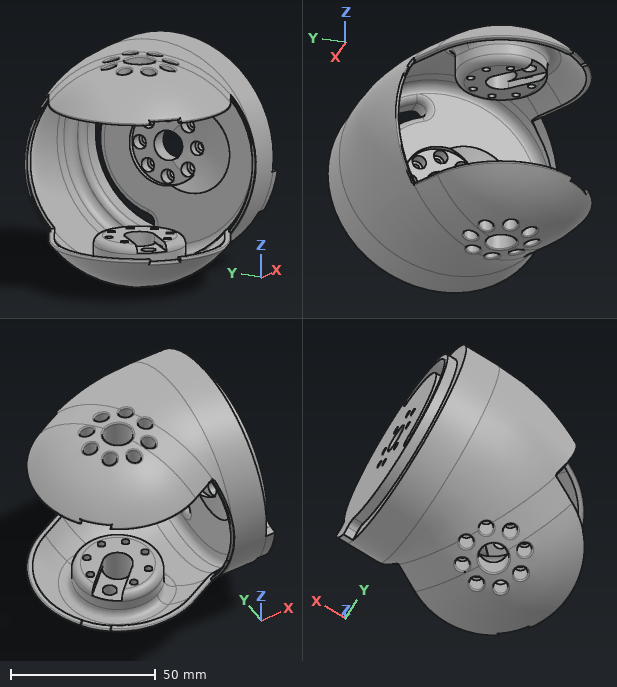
import cadquery as cq
import math


outer_radius = 40.0
wall = 2.0
inner_radius = outer_radius - wall
tube_offset = 9.9
bend_angle = 28.0
bend_axis_gap = 0.04
bend_radius = outer_radius + bend_axis_gap
flange_face = 42.05

turn = math.radians(bend_angle)
neck_length = (tube_offset - bend_radius * (1 - math.cos(turn))) / math.sin(turn)
bend_start = bend_radius * math.sin(turn) + neck_length * math.cos(turn)

window_half = 23.95
edge_round = 0.5
notch_depth = 1.05
notch_top = window_half + notch_depth
hood_bore_radius = 39.0
hood_bore_depth = 4.3

centre_hole_dia = 10.6
screw_circle_radius = 11.0
screw_count = 8
screw_dia = 2.7
screw_head_dia = 5.0
screw_floor = 2.45

boss_radius = 16.0
boss_face = 22.5
boss_round = 3.0
channel_depth = 2.7
channel_angle = 225.0

plate_face = 37.1
plate_corner_round = 3.5
seat_radius = 13.9
seat_depth = 1.95
clearance_radius = 40.2
slot_inner_radius = 26.4
slot_outer_radius = 31.9
slot_round = 2.45
slot_half_angle = math.radians(74)

plug_radius = 34.0
plug_length = 3.8
plug_end = flange_face + plug_length
key_start = math.radians(188)
key_end = math.radians(211)
key_round = 3.0


def along_x(x):
    """Workplane across the tube axis, facing +X."""
    return cq.Workplane("YZ", origin=(x, tube_offset, 0))


def polar(radius, angle):
    return (radius * math.cos(angle), radius * math.sin(angle))


def turned(shape, angle):
    return shape.rotate((0, 0, 0), (0, 0, 1), angle)


def both_sides(shape):
    return shape.union(shape.mirror("XY"))


def slab(half_height):
    span = 4 * outer_radius
    return cq.Workplane("XY").box(span, span, 2 * half_height)


def screw_points():
    step = 2 * math.pi / screw_count
    return [polar(screw_circle_radius, i * step) for i in range(screw_count)]


def elbow(radius, tube_end):
    """Solid dome, neck, bend and tube of one radius."""
    dome_profile = (
        cq.Workplane("XY").moveTo(neck_length, 0).lineTo(neck_length, radius).lineTo(0, radius)
        .radiusArc((-radius, 0), -radius).close()
    )
    domed_neck = turned(dome_profile.revolve(360, (0, 0), (1, 0)), bend_angle)
    section = along_x(bend_start).circle(radius)
    bend = section.revolve(bend_angle, (-bend_radius, 0), (-bend_radius, 1))
    tube = along_x(bend_start).circle(radius).extrude(tube_end - bend_start)
    return domed_neck.union(bend).union(tube)


def boss_posts():
    post = (
        cq.Workplane("XY", origin=(0, 0, boss_face)).circle(boss_radius)
        .extrude(outer_radius - boss_face)
        .faces("<Z").edges().fillet(boss_round)
    )
    return both_sides(post)


def is_boss_root(edge):
    """True for the edges where a boss meets the inside of the wall."""
    return all(abs(math.hypot(p.x, p.y) - boss_radius) < 0.02 for p in edge.positions([0, 0.5, 1]))


def cavity(posts):
    """Space inside the elbow, rounded at the end plate and at the boss roots."""
    space = elbow(inner_radius, plate_face).faces(">X").edges().fillet(plate_corner_round)
    return space.cut(posts).edges("%BSPLINE").filter(is_boss_root).fillet(boss_round)


def window():
    reach = 2 * outer_radius
    box = cq.Workplane("XY").box(reach, 2 * reach, 2 * window_half)
    return turned(box.translate((neck_length - reach / 2, 0, 0)), bend_angle)


def rim_notch():
    """Notches in both window rims, in line with the cable channels."""
    box = cq.Workplane("XY").box(outer_radius, centre_hole_dia, 2 * notch_top)
    return turned(box.translate((outer_radius, 0, 0)), channel_angle)


def is_window_rim(edge):
    """True for the outer edges of the window and its notches on the dome and neck."""
    point = edge.positionAt(0.5)
    along = point.x * math.cos(turn) + point.y * math.sin(turn)
    across = point.y * math.cos(turn) - point.x * math.sin(turn)
    on_skin = abs(math.hypot(min(along, 0), across, point.z) - outer_radius) < 0.01
    box = edge.BoundingBox()
    near_window = max(abs(box.zmin), abs(box.zmax)) < notch_top + 0.1
    return on_skin and near_window and along < neck_length - 0.1


def hood_rounding():
    """Ring that takes the sharp outer corner off the open end of the bend."""
    inside = neck_length + edge_round
    over = outer_radius + edge_round
    profile = (
        cq.Workplane("XY").moveTo(neck_length, outer_radius - edge_round)
        .radiusArc((inside, outer_radius), edge_round)
        .lineTo(inside, over).lineTo(neck_length, over).close()
    )
    ring = turned(profile.revolve(360, (0, 0), (1, 0)), bend_angle)
    return ring.intersect(slab(window_half))


def hood_bore():
    bore = cq.Workplane("YZ", origin=(neck_length, 0, 0)).circle(hood_bore_radius).extrude(hood_bore_depth)
    return turned(bore, bend_angle).intersect(slab(window_half))


def boss_bores():
    """Shaft hole, screw holes with outside head pockets and cable channel of the bosses."""
    face = cq.Workplane("XY", origin=(0, 0, boss_face))
    shaft = face.circle(centre_hole_dia / 2).extrude(outer_radius)
    screws = face.pushPoints(screw_points()).circle(screw_dia / 2).extrude(outer_radius)
    heads = (
        face.workplane(offset=screw_floor).pushPoints(screw_points())
        .circle(screw_head_dia / 2).extrude(outer_radius)
    )
    channel_length = boss_radius + 1.6
    channel = face.center(channel_length / 2, 0).rect(channel_length, centre_hole_dia).extrude(channel_depth)
    return both_sides(shaft.union(screws).union(heads).union(turned(channel, channel_angle)))


def is_hole_mouth(edge):
    """True for the edges where the boss holes break through the outer skin."""
    points = edge.positions([0, 0.5, 1])
    if min(abs(p.z) for p in points) < inner_radius - wall:
        return False
    holes = [(0, 0, centre_hole_dia / 2)]
    holes += [(x, y, screw_head_dia / 2) for x, y in screw_points()]
    return any(
        all(abs(math.hypot(p.x - x, p.y - y) - radius) < 0.01 for p in points)
        for x, y, radius in holes
    )


def ring_slot():
    """Curved cable slot with round ends on the +Y side of the plate."""
    near, far, half = slot_inner_radius, slot_outer_radius, slot_half_angle
    middle = (near + far) / 2
    tip = half + (far - near) / 2 / middle
    return (
        along_x(plate_face).moveTo(*polar(near, -half))
        .threePointArc((near, 0), polar(near, half))
        .threePointArc(polar(middle, tip), polar(far, half))
        .threePointArc((far, 0), polar(far, -half))
        .threePointArc(polar(middle, -tip), polar(near, -half))
        .close().extrude(plug_end - plate_face)
    )


def is_slot_edge(edge):
    point = edge.positionAt(0.5)
    return math.hypot(point.y - tube_offset, point.z) < slot_outer_radius + 0.1


def is_key_root(edge):
    point = edge.Center()
    on_plug = abs(math.hypot(point.y - tube_offset, point.z) - plug_radius) < 0.01
    return on_plug and point.y < 0


def plug():
    """Round plug with a key that is flush with the outside of the tube."""
    disc = along_x(flange_face).circle(plug_radius).extrude(plug_length)
    root = plug_radius / 2
    key = (
        along_x(flange_face).moveTo(*polar(root, key_start)).lineTo(*polar(outer_radius, key_start))
        .threePointArc(polar(outer_radius, (key_start + key_end) / 2), polar(outer_radius, key_end))
        .lineTo(*polar(root, key_end)).close().extrude(plug_length)
    )
    return disc.union(key).edges("|X").filter(is_key_root).fillet(key_round)


def end_plate():
    """Middle of the plate together with the plug, slot, ball recess and screw pattern."""
    face = along_x(plate_face)
    depth = plug_end - plate_face
    plate = face.circle(plate_core_radius).extrude(flange_face - plate_face).union(plug())
    plate = plate.cut(ring_slot()).faces("<X").edges().filter(is_slot_edge).fillet(slot_round)
    plate = plate.cut(face.circle(seat_radius).extrude(seat_depth))
    plate = plate.cut(cq.Workplane("XY").sphere(clearance_radius))
    plate = plate.cut(face.circle(centre_hole_dia / 2).extrude(depth))
    plate = plate.cut(face.pushPoints(screw_points()).circle(screw_dia / 2).extrude(depth))
    heads = face.pushPoints(screw_points()).circle(screw_head_dia / 2)
    return plate.cut(heads.extrude(depth - screw_floor))


plate_core_radius = inner_radius - plate_corner_round
plate_core = along_x(plate_face).circle(plate_core_radius).extrude(flange_face - plate_face)

posts = boss_posts()
body = elbow(outer_radius, flange_face).cut(window().cut(posts)).cut(rim_notch())
body = body.edges().filter(is_window_rim).fillet(edge_round)
body = body.cut(hood_rounding()).cut(cavity(posts)).cut(hood_bore().cut(posts))
body = body.cut(boss_bores()).edges().filter(is_hole_mouth).fillet(edge_round)
result = body.cut(plate_core).union(end_plate())